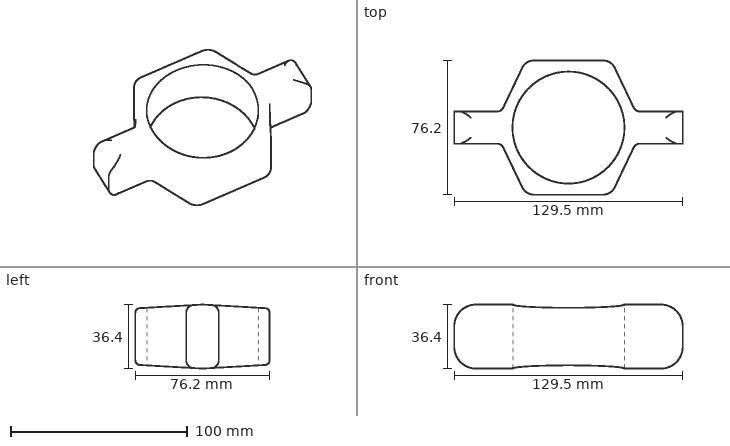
import cadquery as cq
import math

LENGTH = 129.5
WIDTH = 76.2
HEIGHT = 36.4
BORE_DIAMETER = 63.3

HANDLE_WIDTH = 18.4
HEX_FLAT_LENGTH = 48.5
FLANK_ANGLE = 25.5
CORNER_RADIUS = 7.5
ROOT_RADIUS = 3.6

ROOF_ANGLE = 3.3
SIDE_HALF_HEIGHT = 13.2
HANDLE_END_RADIUS = 12.5

SELECT_MARGIN = 1.3

half_length = LENGTH / 2
half_width = WIDTH / 2
half_height = HEIGHT / 2
half_handle = HANDLE_WIDTH / 2
half_flat = HEX_FLAT_LENGTH / 2
root_x = half_flat + (half_width - half_handle) * math.tan(math.radians(FLANK_ANGLE))
roof_slope = math.tan(math.radians(ROOF_ANGLE))


def roof_height(y):
    """Height of the sloped top face above the middle plane."""
    return half_height - abs(y) * roof_slope


def make_plan_body():
    """Hexagon with two handles, its upright corners rounded."""
    quarter = [
        (half_length, half_handle),
        (root_x, half_handle),
        (half_flat, half_width),
    ]
    upper = quarter + [(-x, y) for x, y in reversed(quarter)]
    lower = [(-x, -y) for x, y in upper]
    body = (
        cq.Workplane("XY").workplane(offset=-half_height)
        .polyline(upper + lower).close().extrude(HEIGHT)
    )
    hex_corners = cq.selectors.BoxSelector(
        (-half_flat - SELECT_MARGIN, -WIDTH, -HEIGHT), (half_flat + SELECT_MARGIN, WIDTH, HEIGHT)
    )
    handle_roots = cq.selectors.BoxSelector(
        (-root_x - SELECT_MARGIN, -half_handle - SELECT_MARGIN, -HEIGHT),
        (root_x + SELECT_MARGIN, half_handle + SELECT_MARGIN, HEIGHT),
    )
    body = body.edges("|Z").edges(hex_corners).fillet(CORNER_RADIUS)
    return body.edges("|Z").edges(handle_roots).fillet(ROOT_RADIUS)


def make_roof_envelope():
    """Long prism with a shallow ridge along X on its top and bottom."""
    eave = roof_height(half_width)
    section = [
        (-half_width, -eave), (0, -half_height), (half_width, -eave),
        (half_width, eave), (0, half_height), (-half_width, eave),
    ]
    return (
        cq.Workplane("YZ").workplane(offset=-half_length)
        .polyline(section).close().extrude(LENGTH)
    )


def round_rims(body):
    """Round the rims with a radius that shrinks as the roof falls towards the sides."""
    solid = body.val()
    maker = cq.occ_impl.shapes.BRepFilletAPI_MakeFillet(solid.wrapped)
    for edge in body.edges("|X").edges(">Y or <Y").vals():
        maker.Add(edge.wrapped)
    for chain in range(1, maker.NbContours() + 1):
        chain_edges = [
            cq.Edge(maker.Edge(chain, i)) for i in range(1, maker.NbEdges(chain) + 1)
        ]
        for edge in chain_edges:
            for vertex in edge.Vertices():
                radius = roof_height(vertex.Y) - SIDE_HALF_HEIGHT
                maker.SetRadius(radius, chain, vertex.wrapped)
    return cq.Workplane(cq.Shape.cast(maker.Shape()))


def make_end_envelope():
    """Block whose rounded ends shape the tips of the handles."""
    return (
        cq.Workplane("XY").box(LENGTH, WIDTH, HEIGHT)
        .edges("|Y").fillet(HANDLE_END_RADIUS)
    )


blank = make_plan_body().intersect(make_roof_envelope())
rounded = round_rims(blank).intersect(make_end_envelope())
bore = cq.Workplane("XY").circle(BORE_DIAMETER / 2).extrude(half_height, both=True)
result = cq.Workplane(rounded.cut(bore).solids().val())